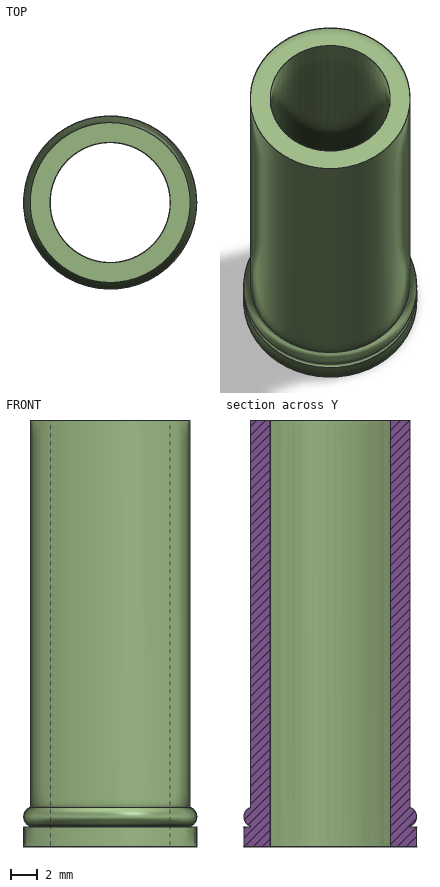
import math

import cadquery as cq

bore_diameter = 9.0
tube_diameter = 12.0
flange_diameter = 13.0
total_height = 32.0
flange_height = 1.5
bead_diameter = 1.5

bore_radius = bore_diameter / 2
tube_radius = tube_diameter / 2
flange_radius = flange_diameter / 2
bead_radius = bead_diameter / 2

bead_center_radius = flange_radius - bead_radius
bead_center_height = flange_height + bead_radius

bead_half_width = math.sqrt(bead_radius**2 - (tube_radius - bead_center_radius) ** 2)


def sleeve_profile():
    """Half section of the sleeve: foot flange, round bead and plain tube."""
    return (
        cq.Workplane("XZ")
        .moveTo(bore_radius, 0)
        .lineTo(flange_radius, 0)
        .lineTo(flange_radius, flange_height)
        .lineTo(tube_radius, flange_height)
        .lineTo(tube_radius, bead_center_height - bead_half_width)
        .threePointArc(
            (flange_radius, bead_center_height),
            (tube_radius, bead_center_height + bead_half_width),
        )
        .lineTo(tube_radius, total_height)
        .lineTo(bore_radius, total_height)
        .close()
    )


result = sleeve_profile().revolve(360, (0, 0, 0), (0, 1, 0))